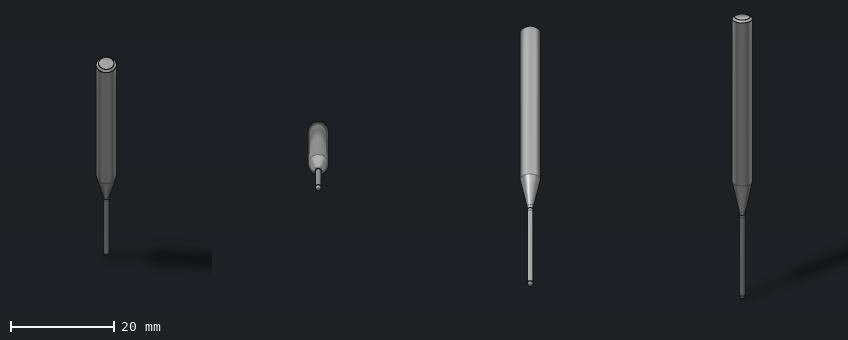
import cadquery as cq
import math

overall_length = 60.0
neck_length = 18.0
blend_bottom = 17.45
shoulder_top = 24.9
land_top = 0.8
head_top = 0.95

shank_radius = 2.0
head_radius = 0.6
neck_radius = 0.55

chamfer_width = 0.5
chamfer_height = 0.4

blend_radius = 6.0
blend_center_radius = neck_radius + blend_radius


def blend_point(angle):
    """Profile point on the blend arc, turned by the angle up from the neck."""
    radius = blend_center_radius - blend_radius * math.cos(angle)
    height = blend_bottom + blend_radius * math.sin(angle)
    return -radius, height


def revolve_profile(profile):
    """Close a half profile on the tool axis and turn it around Z."""
    return profile.close().revolve(360, (0, 0), (0, 1))


joint_angle = math.asin((neck_length - blend_bottom) / blend_radius)
joint_point = blend_point(joint_angle)

center_offset = blend_center_radius - shank_radius
center_drop = shoulder_top - blend_bottom
shoulder_angle = math.asin(blend_radius / math.hypot(center_offset, center_drop)) - math.atan2(
    center_offset, center_drop
)


def make_cutter():
    """Ball end, short land, slim neck and the lower stretch of the blend."""
    ball_offset = head_radius * math.sqrt(0.5)
    profile = (
        cq.Workplane("YZ")
        .threePointArc((-ball_offset, head_radius - ball_offset), (-head_radius, head_radius))
        .lineTo(-head_radius, land_top)
        .lineTo(-neck_radius, head_top)
        .lineTo(-neck_radius, blend_bottom)
        .threePointArc(blend_point(joint_angle / 2), joint_point)
        .lineTo(0, neck_length)
    )
    return revolve_profile(profile)


def make_shank():
    """Upper stretch of the blend, conical shoulder and chamfered shank."""
    middle_angle = (joint_angle + shoulder_angle) / 2
    profile = (
        cq.Workplane("YZ")
        .moveTo(0, neck_length)
        .lineTo(*joint_point)
        .threePointArc(blend_point(middle_angle), blend_point(shoulder_angle))
        .lineTo(-shank_radius, shoulder_top)
        .lineTo(-shank_radius, overall_length - chamfer_height)
        .lineTo(-shank_radius + chamfer_width, overall_length)
        .lineTo(0, overall_length)
    )
    return revolve_profile(profile)


cutter = make_cutter()
shank = make_shank()

result = cq.Compound.makeCompound([cutter.val(), shank.val()])